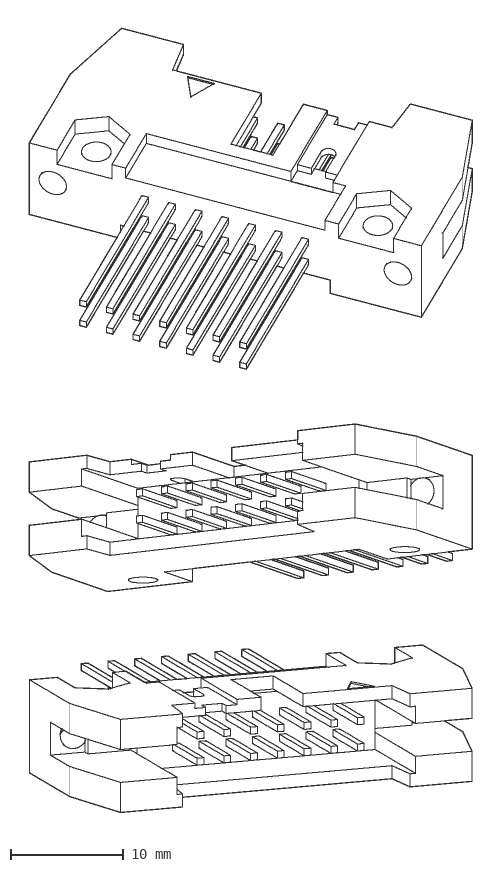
import cadquery as cq
import math


length = 37.4
height = 8.5
mid_z = height / 2
ear_front = 17.28
wall_front = 13.75
shoulder_y = 9.87
ear_outer_x = 16.7
ear_inner_x = 10.8
notch_root_x = 10.47

wall_thickness = 1.2
ceiling_z = height - wall_thickness
cavity_half_length = 11.35
cavity_floor_y = 7.35
lever_slot_height = 3.0
lever_slot_floor_y = 5.9
lever_heel_floor_y = 5.15
lever_heel_x = 15.4

pin_columns = 7
pin_pitch = 2.55
pin_row_spacing = 2.4
pin_width = 0.65
tail_length = 15.05
pin_front = 13.43
first_pin_x = -pin_pitch * (pin_columns - 1) / 2

hole_diameter = 2.6
mount_x = 13.43
mount_y = 2.85
nut_width = 5.25
nut_depth = 1.7
ejector_hole_x = 16.45
ejector_hole_z = mid_z + 0.22

rear_recess_length = 4.97
top_recess_width = 19.0
top_recess_depth = 1.15
bottom_recess_width = 19.97
bottom_recess_depth = 1.57

key_width = 4.0
key_end_y = 6.45
latch_x = 6.3
latch_drop = 0.5
latch_rear_y = 6.55
latch_slot_width = 1.35
latch_slot_end_y = 9.6
latch_notch_width = 1.95
latch_notch_y = 12.8

mark_half_width = 1.27
mark_front_y = 13.43
mark_tip_y = 11.0
mark_depth = 0.15


def box(x_range, y_range, z_range):
    """Axis-aligned box between the given limits."""
    (x0, x1), (y0, y1), (z0, z1) = x_range, y_range, z_range
    return cq.Workplane("XY").box(x1 - x0, y1 - y0, z1 - z0, centered=False).translate((x0, y0, z0))


def centred(middle, width):
    """Limits of a span of the given width about its middle."""
    return (middle - width / 2, middle + width / 2)


def prism(points, bottom_z, top_z):
    """Upright prism over a closed outline."""
    return cq.Workplane("XY").workplane(offset=bottom_z).polyline(points).close().extrude(top_z - bottom_z)


def housing():
    right_half = [
        (length / 2, 0),
        (length / 2, shoulder_y),
        (ear_outer_x, ear_front),
        (ear_inner_x, ear_front),
        (notch_root_x, wall_front),
    ]
    left_half = [(-x, y) for x, y in reversed(right_half)]
    return prism(right_half + left_half, 0, height)


def mating_openings():
    slot_z = centred(mid_z, lever_slot_height)
    cavity = box(
        (-cavity_half_length, cavity_half_length),
        (cavity_floor_y, ear_front),
        (wall_thickness, ceiling_z),
    )
    for side in (-1, 1):
        arm_x = sorted((side * cavity_half_length, side * length / 2))
        heel_x = sorted((side * lever_heel_x, side * length / 2))
        cavity = cavity.union(box(arm_x, (lever_slot_floor_y, ear_front), slot_z))
        cavity = cavity.union(box(heel_x, (lever_heel_floor_y, ear_front), slot_z))
    return cavity


def rear_recesses():
    recess_y = (0, rear_recess_length)
    top = box(centred(0, top_recess_width), recess_y, (height - top_recess_depth, height))
    bottom = box(centred(0, bottom_recess_width), recess_y, (0, bottom_recess_depth))
    return top.union(bottom)


def mounting_cut(x):
    """Vertical bolt hole under a hexagonal nut pocket that opens at the rear face."""
    corner_radius = nut_width / math.sqrt(3)
    flat_end_y = mount_y + corner_radius / 2
    left_x, right_x = centred(x, nut_width)
    pocket_outline = [
        (left_x, 0),
        (right_x, 0),
        (right_x, flat_end_y),
        (x, mount_y + corner_radius),
        (left_x, flat_end_y),
    ]
    pocket = prism(pocket_outline, height - nut_depth, height)
    hole = cq.Workplane("XY").center(x, mount_y).circle(hole_diameter / 2).extrude(height)
    return pocket.union(hole)


def ejector_hole(x):
    """Hole from the rear face into the heel of the lever slot."""
    return (
        cq.Workplane("XZ")
        .center(x, ejector_hole_z)
        .circle(hole_diameter / 2)
        .extrude(-lever_heel_floor_y)
    )


def key_slot():
    return box(centred(0, key_width), (key_end_y, wall_front), (ceiling_z, height))


def latch_cut():
    """Lowered strip with a deeper rear step, a round-ended slot and a front notch."""
    strip_x = centred(latch_x, key_width)
    full_depth = (ceiling_z, height)
    slot_radius = latch_slot_width / 2
    slot_centre_y = latch_slot_end_y - slot_radius
    cut = box(strip_x, (rear_recess_length, wall_front), (height - latch_drop, height))
    cut = cut.union(box(strip_x, (rear_recess_length, latch_rear_y), full_depth))
    cut = cut.union(box(centred(latch_x, latch_slot_width), (latch_rear_y, slot_centre_y), full_depth))
    cut = cut.union(
        cq.Workplane("XY")
        .workplane(offset=ceiling_z)
        .center(latch_x, slot_centre_y)
        .circle(slot_radius)
        .extrude(wall_thickness)
    )
    return cut.union(box(centred(latch_x, latch_notch_width), (latch_notch_y, wall_front), full_depth))


def pin_one_mark():
    outline = [
        (first_pin_x - mark_half_width, mark_front_y),
        (first_pin_x + mark_half_width, mark_front_y),
        (first_pin_x, mark_tip_y),
    ]
    return prism(outline, height - mark_depth, height)


def pin(x, z):
    return box(centred(x, pin_width), (-tail_length, pin_front), centred(z, pin_width))


result = housing().cut(mating_openings()).cut(rear_recesses())
for side in (-1, 1):
    result = result.cut(mounting_cut(side * mount_x))
    result = result.cut(ejector_hole(side * ejector_hole_x))
result = result.cut(key_slot()).cut(latch_cut()).cut(pin_one_mark())

for column in range(pin_columns):
    for row_z in centred(mid_z, pin_row_spacing):
        result = result.union(pin(first_pin_x + column * pin_pitch, row_z))